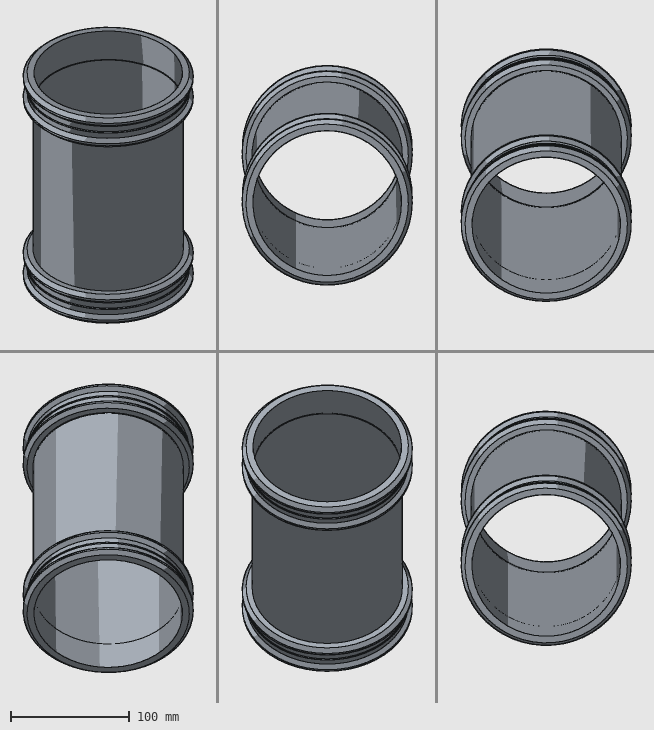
import cadquery as cq

total_height = 208.8
bore_diameter = 125.0
tube_diameter = 126.7

flange_diameter = 143.5
neck_diameter = 136.8
collar_height = 29.5
flange_height = 8.8

rib_diameter = 138.2
rib_height = 1.5

flange_chamfer = (flange_diameter - neck_diameter) / 2


def ring(outer_diameter, height, bottom):
    """Plain ring around the common bore, standing on the level 'bottom'."""
    return (
        cq.Workplane("XY")
        .workplane(offset=bottom)
        .circle(outer_diameter / 2)
        .circle(bore_diameter / 2)
        .extrude(height)
    )


def flange(bottom):
    """Flange with both outer edges chamfered down to the neck diameter."""
    blank = cq.Workplane("XY").workplane(offset=bottom).circle(flange_diameter / 2).extrude(flange_height)
    chamfered = blank.faces("<Z or >Z").edges().chamfer(flange_chamfer)
    return chamfered.intersect(ring(flange_diameter, flange_height, bottom))


def pointed_rib(bottom):
    """Triangular rib around the neck, peaked at mid height; its root lies inside the neck wall."""
    neck_radius = neck_diameter / 2
    root_radius = (neck_diameter + bore_diameter) / 4
    top = bottom + rib_height
    profile = [
        (root_radius, bottom),
        (neck_radius, bottom),
        (rib_diameter / 2, bottom + rib_height / 2),
        (neck_radius, top),
        (root_radius, top),
    ]
    return cq.Workplane("XZ").polyline(profile).close().revolve(360, (0, 0, 0), (0, 1, 0))


def make_collar(bottom):
    """Neck with a flange at each end and a pointed rib midway between them."""
    rib_bottom = bottom + (collar_height - rib_height) / 2
    upper_flange_bottom = bottom + collar_height - flange_height
    return (
        ring(neck_diameter, collar_height, bottom)
        .union(flange(bottom))
        .union(flange(upper_flange_bottom))
        .union(pointed_rib(rib_bottom))
    )


def make_tube():
    """Thin tube with a collar formed on its lower end."""
    wall_height = total_height - 2 * collar_height
    wall = ring(tube_diameter, wall_height, collar_height)
    return make_collar(0).union(wall)


tube = make_tube()

upper_collar = make_collar(total_height - collar_height)

result = cq.Compound.makeCompound([tube.val(), upper_collar.val()])